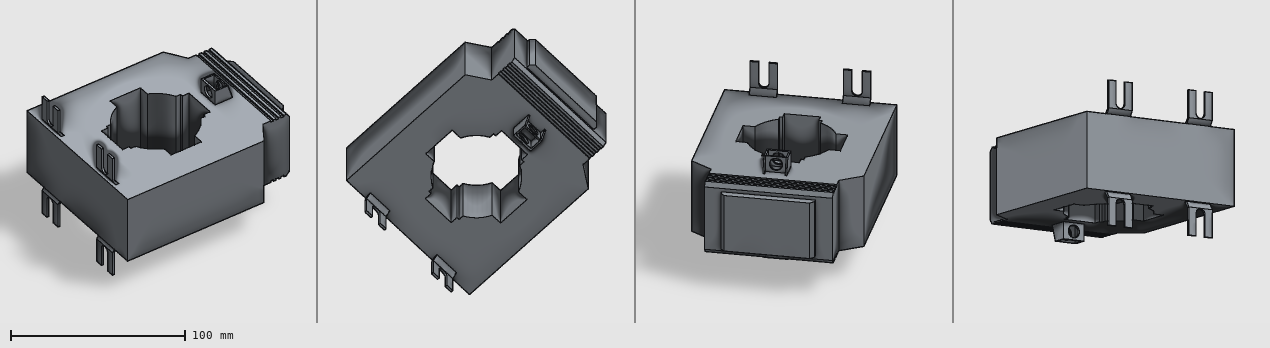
import cadquery as cq

BODY_WIDTH = 101.0
BODY_THICKNESS = 45.0
SHOULDER_Y = 95.5
NECK_WIDTH = 75.0
NECK_START_Y = 104.0
NECK_END_Y = 122.5
NECK_CHAMFER_Y = 2.2
NECK_CHAMFER_Z = 2.6

GROOVE_COUNT = 3
GROOVE_WIDTH = 1.8
GROOVE_PITCH = 2 * GROOVE_WIDTH
GROOVE_DEPTH = 1.0
FIRST_GROOVE_Y = 109.5

OVERALL_LENGTH = 127.0
CAP_WIDTH = 55.0
CAP_THICKNESS = 35.5
CAP_CHAMFER = 2.5

WINDOW_Y = 55.0
WINDOW_DIAMETER = 52.0
ARM_SPAN = 61.3
ARM_WIDTH = 21.2
STEP_WIDTH = 24.7

OVERALL_HEIGHT = 85.0
TERMINAL_X = 27.35
TERMINAL_WIDTH = 16.0
TERMINAL_THICKNESS = 1.4
TERMINAL_BEND_Z = 26.1
TERMINAL_FOOT_INNER_Y = 4.4
TERMINAL_FOOT_OUTER_Y = 2.3
FORK_WIDTH = 6.2
FORK_BOTTOM_Z = 26.5

LUG_WIDTH = 14.0
LUG_HEIGHT = 10.0
LUG_START_Y = 91.7
LUG_TOP_END_Y = 100.8
LUG_SIDE_WALL = 1.0
LUG_FRONT_WALL = 1.4
LUG_REAR_WALL = 0.9
LUG_HOLE_DIAMETER = 7.5

FACE_Z = BODY_THICKNESS / 2
TOP_Z = OVERALL_HEIGHT / 2


def box(x_range, y_range, z_range):
    """Axis-aligned block given by its limits along each axis."""
    (x0, x1), (y0, y1), (z0, z1) = x_range, y_range, z_range
    return cq.Workplane("XY").box(x1 - x0, y1 - y0, z1 - z0, centered=False).translate((x0, y0, z0))


def centered(size):
    """Limits of a length centred on zero."""
    return (-size / 2, size / 2)


def side_profile(points, x_center, width):
    """Extrude a (Y, Z) outline along X, centred on x_center."""
    profile = cq.Workplane("YZ").polyline(points).close()
    return profile.extrude(width / 2, both=True).translate((x_center, 0, 0))


def mirrored_pair(solid):
    """The solid together with its mirror image below the middle plane."""
    return solid.union(solid.mirror("XY"))


def make_housing():
    half_body = BODY_WIDTH / 2
    half_neck = NECK_WIDTH / 2
    outline = [
        (-half_body, 0),
        (half_body, 0),
        (half_body, SHOULDER_Y),
        (half_neck, NECK_START_Y),
        (half_neck, NECK_END_Y),
        (-half_neck, NECK_END_Y),
        (-half_neck, NECK_START_Y),
        (-half_body, SHOULDER_Y),
    ]
    plate = cq.Workplane("XY").polyline(outline).close().extrude(FACE_Z, both=True)
    corner = [
        (NECK_END_Y, FACE_Z),
        (NECK_END_Y - NECK_CHAMFER_Y, FACE_Z),
        (NECK_END_Y, FACE_Z - NECK_CHAMFER_Z),
    ]
    return plate.cut(mirrored_pair(side_profile(corner, 0, NECK_WIDTH)))


def cut_grooves(housing):
    for index in range(GROOVE_COUNT):
        start_y = FIRST_GROOVE_Y + index * GROOVE_PITCH
        groove = box(
            centered(NECK_WIDTH),
            (start_y, start_y + GROOVE_WIDTH),
            (FACE_Z - GROOVE_DEPTH, FACE_Z),
        )
        housing = housing.cut(mirrored_pair(groove))
    return housing


def make_cap():
    cap = box(centered(CAP_WIDTH), (NECK_END_Y, OVERALL_LENGTH), centered(CAP_THICKNESS))
    return cap.faces(">Y").edges("|Z").chamfer(CAP_CHAMFER)


def make_window():
    """Round opening with four flat-ended arms, the Y arms having stepped roots."""
    window = cq.Workplane("XY").circle(WINDOW_DIAMETER / 2)
    window = window.extrude(FACE_Z, both=True)
    for size_x, size_y in [
        (ARM_SPAN, ARM_WIDTH),
        (ARM_WIDTH, ARM_SPAN),
        (STEP_WIDTH, WINDOW_DIAMETER),
    ]:
        window = window.union(box(centered(size_x), centered(size_y), centered(BODY_THICKNESS)))
    return window.translate((0, WINDOW_Y, 0))


def make_terminal(x_center):
    """Upright fork on a slanted foot that rises from the upper face."""
    outline = [
        (TERMINAL_FOOT_OUTER_Y, FACE_Z),
        (TERMINAL_FOOT_INNER_Y, FACE_Z),
        (TERMINAL_THICKNESS, TERMINAL_BEND_Z),
        (TERMINAL_THICKNESS, TOP_Z),
        (0, TOP_Z),
        (0, TERMINAL_BEND_Z),
    ]
    strip = side_profile(outline, x_center, TERMINAL_WIDTH)
    fork_radius = FORK_WIDTH / 2
    fork_center_z = FORK_BOTTOM_Z + fork_radius
    left = x_center - fork_radius
    right = x_center + fork_radius
    slot = (
        cq.Workplane("XZ")
        .moveTo(left, TOP_Z)
        .lineTo(left, fork_center_z)
        .threePointArc((x_center, FORK_BOTTOM_Z), (right, fork_center_z))
        .lineTo(right, TOP_Z)
        .close()
        .extrude(-TERMINAL_THICKNESS)
    )
    return strip.cut(slot)


def make_lug():
    """Open-topped lug with sloping cheeks and a hole through both cross walls."""
    top_z = FACE_Z + LUG_HEIGHT
    outline = [
        (LUG_START_Y, FACE_Z),
        (NECK_START_Y, FACE_Z),
        (LUG_TOP_END_Y, top_z),
        (LUG_START_Y, top_z),
    ]
    lug = side_profile(outline, 0, LUG_WIDTH)
    inner_x = centered(LUG_WIDTH - 2 * LUG_SIDE_WALL)
    full_z = (FACE_Z, top_z)
    pocket_y = (LUG_START_Y + LUG_FRONT_WALL, LUG_TOP_END_Y - LUG_REAR_WALL)
    pocket = box(inner_x, pocket_y, full_z)
    rear_notch = box(inner_x, (LUG_TOP_END_Y, NECK_START_Y), full_z)
    hole = (
        cq.Workplane("XZ")
        .center(0, FACE_Z + LUG_HEIGHT / 2)
        .circle(LUG_HOLE_DIAMETER / 2)
        .extrude(-NECK_START_Y)
    )
    return lug.cut(pocket).cut(rear_notch).cut(hole)


result = cut_grooves(make_housing()).union(make_cap()).cut(make_window())
result = result.union(mirrored_pair(make_lug()))
for terminal_x in (-TERMINAL_X, TERMINAL_X):
    result = result.union(mirrored_pair(make_terminal(terminal_x)))